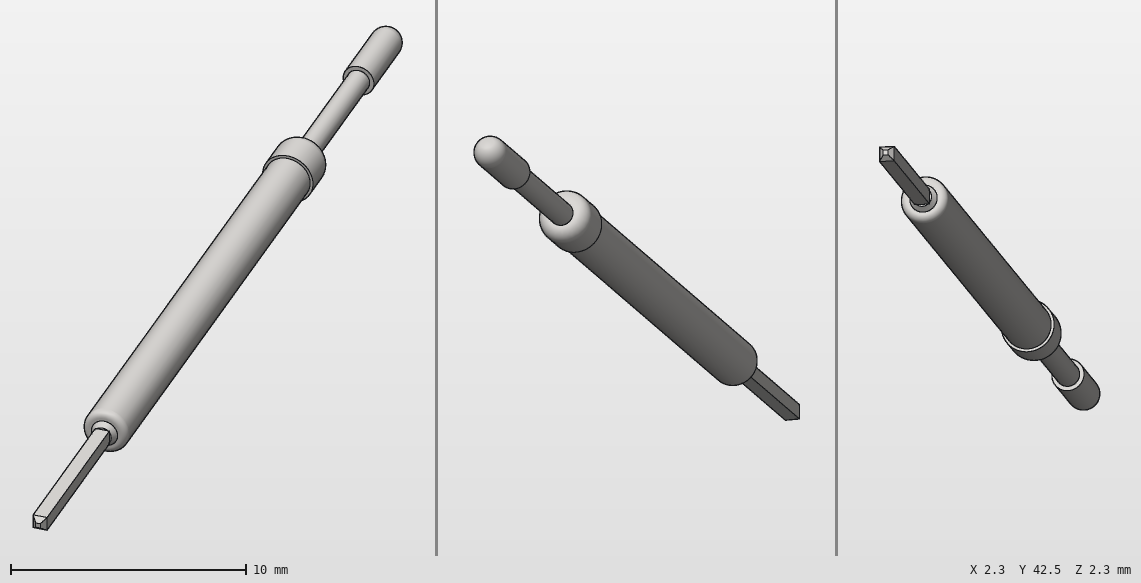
import cadquery as cq

total_length = 42.5
head_end = total_length / 2
pin_end = -total_length / 2

head_diameter = 1.4
head_length = 4.0
plunger_diameter = 1.0

collar_diameter = 2.3
collar_top = head_end - 10.5
collar_length = 2.0
collar_rounding = 0.55
barrel_diameter = 2.05
barrel_bottom = head_end - 34.5
barrel_rounding = 0.3

neck_base_diameter = 1.2
neck_end_diameter = 0.8
neck_length = 0.25
pin_width = 0.65
pin_tip_width = 0.2
pin_tip_length = 0.25


def cylinder(diameter, start_y, end_y):
    """Round bar on the Y axis between two Y positions."""
    bar = cq.Workplane("XZ").circle(diameter / 2).extrude(start_y - end_y)
    return bar.translate((0, start_y, 0))


def make_head():
    """Cylindrical contact head with a hemispherical tip."""
    radius = head_diameter / 2
    head_base = head_end - head_length
    ball_centre = head_end - radius
    return (
        cq.Workplane("XY")
        .moveTo(0, head_base)
        .lineTo(radius, head_base)
        .lineTo(radius, ball_centre)
        .radiusArc((0, head_end), -radius)
        .close()
        .revolve(360, (0, 0, 0), (0, 1, 0))
    )


def make_plunger():
    """Round rod joining the head to the collar."""
    return cylinder(plunger_diameter, head_end - head_length, collar_top)


def make_collar():
    """Stop collar with a rounded plunger-side rim."""
    collar = cylinder(collar_diameter, collar_top, collar_top - collar_length)
    return collar.faces(">Y").edges().fillet(collar_rounding)


def make_barrel():
    """Main tube with a rounded tail-side rim."""
    barrel = cylinder(barrel_diameter, collar_top - collar_length, barrel_bottom)
    return barrel.faces("<Y").edges().fillet(barrel_rounding)


def make_tail():
    """Tapered neck and square pin ending in a blunt pyramid."""
    neck_bottom = barrel_bottom - neck_length
    tip_base = pin_end + pin_tip_length
    neck = (
        cq.Workplane("XZ", origin=(0, barrel_bottom, 0))
        .circle(neck_base_diameter / 2)
        .workplane(offset=neck_length)
        .circle(neck_end_diameter / 2)
        .loft(ruled=True)
    )
    pin = (
        cq.Workplane("XZ", origin=(0, neck_bottom, 0))
        .rect(pin_width, pin_width)
        .extrude(neck_bottom - tip_base)
    )
    tip = (
        cq.Workplane("XZ", origin=(0, tip_base, 0))
        .rect(pin_width, pin_width)
        .workplane(offset=pin_tip_length)
        .rect(pin_tip_width, pin_tip_width)
        .loft(ruled=True)
    )
    return neck.union(pin).union(tip)


result = (
    make_head()
    .union(make_plunger())
    .union(make_collar())
    .union(make_barrel())
    .union(make_tail())
)